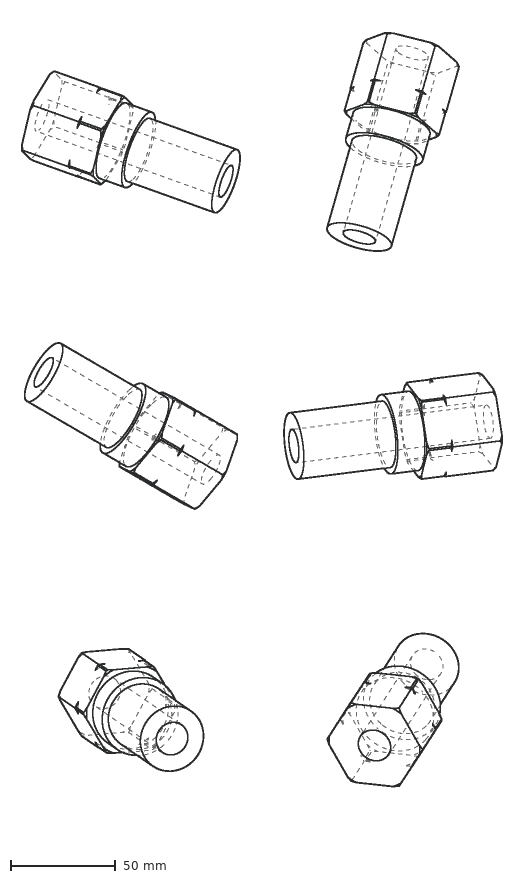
import cadquery as cq
import math

total_length = 97.0
across_flats = 41.0
body_end = 25.0
nut_end = 37.5
collar_end = 51.0
collar_diameter = 38.2
stem_diameter = 32.0
bore_diameter = 16.0

body_chamfer_length = 1.2
body_face_radius = 22.4
nut_corner_radius = 23.4
nut_face_radius = 22.2
nut_chamfer_length = 0.75

corner_radius = across_flats / math.sqrt(3)


def bar(profile, start, end):
    """Extrude a hexagon or disc along X from start to end."""
    return profile(cq.Workplane("YZ").workplane(offset=start)).extrude(end - start)


def cylinder(diameter, start, end):
    return bar(lambda plane: plane.circle(diameter / 2), start, end)


def hexagon(start, end):
    """Hexagonal bar with two corners on the Y axis."""
    return bar(lambda plane: plane.polygon(6, 2 * corner_radius), start, end)


def turned(outline):
    """Revolve an (axial, radial) outline about the X axis."""
    closed_outline = cq.Workplane("XY").polyline(outline).close()
    return closed_outline.revolve(360, (0, 0, 0), (1, 0, 0))


def make_body():
    """Hexagonal body, its corners chamfered at the free end only."""
    envelope = turned([
        (0, 0),
        (0, body_face_radius),
        (body_chamfer_length, corner_radius),
        (body_end, corner_radius),
        (body_end, 0),
    ])
    return hexagon(0, body_end).intersect(envelope)


def make_nut():
    """Hexagonal nut with turned-down corners, chamfered at both ends."""
    envelope = turned([
        (body_end, 0),
        (body_end, nut_face_radius),
        (body_end + nut_chamfer_length, nut_corner_radius),
        (nut_end - nut_chamfer_length, nut_corner_radius),
        (nut_end, nut_face_radius),
        (nut_end, 0),
    ])
    return hexagon(body_end, nut_end).intersect(envelope)


collar = cylinder(collar_diameter, nut_end, collar_end)
stem = cylinder(stem_diameter, collar_end, total_length)
bore = cylinder(bore_diameter, 0, total_length)

result = make_body().union(make_nut()).union(collar).union(stem).cut(bore)